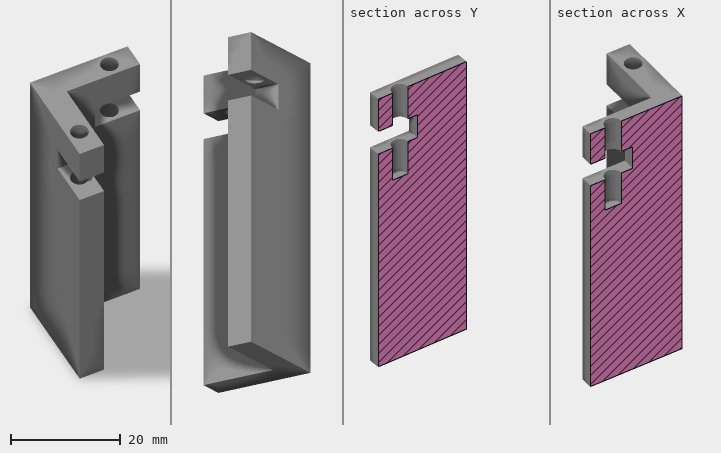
import cadquery as cq

height = 60.0
leg_length = height / 3
wall = leg_length / 4

slot_top_drop = 7.3
slot_height = 5.0
x_leg_slot_depth = 8.9
y_leg_slot_depth = 9.2

hole_diameter = 3.4
hole_from_corner = 0.75 * leg_length
hole_depth_below_slot = 7.2


def corner_box(size_x, size_y, size_z):
    """Box with its minimum corner at the origin."""
    return cq.Workplane("XY").box(size_x, size_y, size_z, centered=False)


x_leg = corner_box(leg_length, wall, height)
y_leg = corner_box(wall, leg_length, height)
post = x_leg.union(y_leg)

slot_floor = height - slot_top_drop - slot_height
x_leg_slot = corner_box(x_leg_slot_depth, wall, slot_height).translate(
    (leg_length - x_leg_slot_depth, 0, slot_floor)
)
y_leg_slot = corner_box(wall, y_leg_slot_depth, slot_height).translate(
    (0, leg_length - y_leg_slot_depth, slot_floor)
)
post = post.cut(x_leg_slot).cut(y_leg_slot)

hole_depth = slot_top_drop + slot_height + hole_depth_below_slot
hole_centers = [(hole_from_corner, wall / 2), (wall / 2, hole_from_corner)]
holes = (
    cq.Workplane("XY", origin=(0, 0, height))
    .pushPoints(hole_centers)
    .circle(hole_diameter / 2)
    .extrude(-hole_depth)
)

result = post.cut(holes)